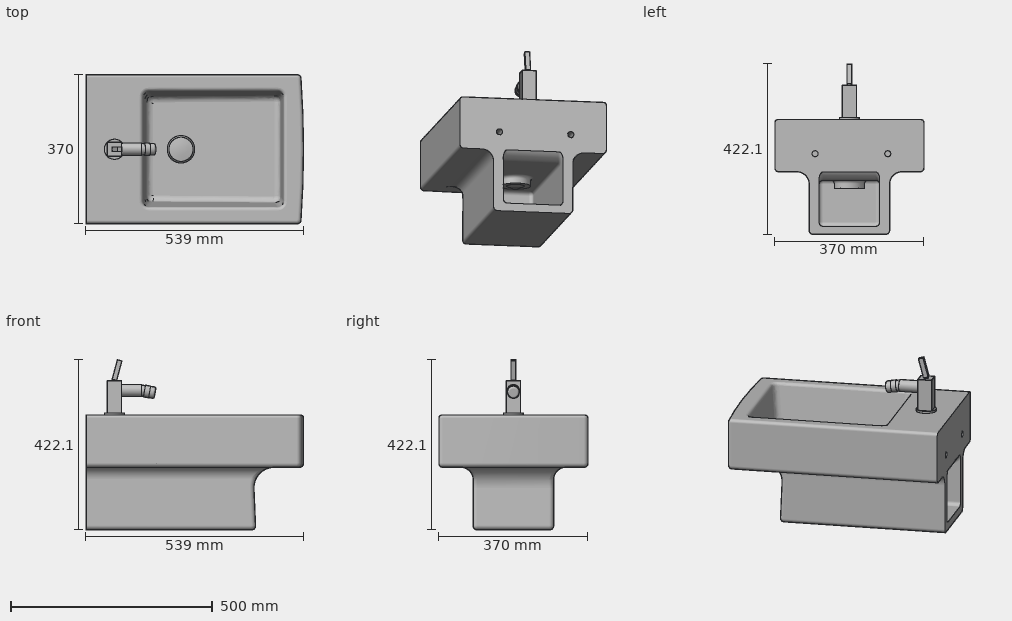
import cadquery as cq
import math


LENGTH = 538.99
WIDTH = 370.0
RIM_HEIGHT = 285.0
BOWL_UNDERSIDE = 155.0
FRONT_ARC_RADIUS = 2500.0
TOP_ROUND = 8.0
EDGE_ROUND = 10.0

PEDESTAL_WIDTH = 200.0
PEDESTAL_LENGTH = 420.5
PEDESTAL_LEAN = math.radians(2.4)
PEDESTAL_SIDE_BLEND = 30.0
PEDESTAL_FRONT_BLEND = 50.0

BASIN_BACK = 140.0
BASIN_FRONT = 491.0
BASIN_HALF_WIDTH = 145.0
BASIN_END_DRAFT = math.radians(5.6)
BASIN_SIDE_DRAFT = math.radians(7.7)
BASIN_CORNER = 15.0
BASIN_LIP_ROUND = 8.0
FLOOR_BACK_HEIGHT = 163.0
FLOOR_SLOPE = math.radians(2.7)

HOLLOW_WIDTH = 150.0
HOLLOW_BOTTOM = 20.0
HOLLOW_LENGTH = 396.0
HOLLOW_ROOF = 134.0
HOLLOW_MOUTH_RADIUS = 40.0
HOLLOW_ROUND = 10.0

FIXING_DIAMETER = 15.0
FIXING_DEPTH = 50.0
FIXING_SPACING = 180.0
FIXING_OFFSET = -5.0
FIXING_HEIGHT = 200.0

DRAIN_X = 235.0
DRAIN_BOSS_BOTTOM = 114.0
DRAIN_BOSS_DIAMETER = 75.0
DRAIN_BOSS_BLEND = 8.5
DRAIN_CAP_DIAMETER = 68.0
DRAIN_RECESS_DEPTH = 6.0
DRAIN_TAIL_DIAMETER = 44.0
DRAIN_DOME_DIAMETER = 60.0
DRAIN_BEVEL_RISE = 4.0
DRAIN_DOME_RISE = 3.0

TAP_X = 70.0
BASE_DIAMETER = 50.0
BASE_THICKNESS = 5.0
TOWER_SIDE = 36.0
TOWER_HEIGHT = 80.0
TOWER_CHAMFER = 1.0
STEM_DIAMETER = 12.0
LEVER_SIDE = 12.0
LEVER_LENGTH = 50.0
LEVER_TILT = 15.0
STEM_HEIGHT = 2.25
SPOUT_DIAMETER = 30.0
SPOUT_HEIGHT = 345.5
SPOUT_END = 137.0
NOZZLE_TILT = 10.0
NOZZLE_NECK_DIAMETER = 27.7
NOZZLE_TIP_DIAMETER = 29.13
NOZZLE_COLLAR_START = 7.5
NOZZLE_COLLAR_END = 20.5
NOZZLE_LENGTH = 34.5
NOZZLE_END_ROUND = 5.0

OVERLAP = 20.0
MARGIN = 1.0

SIDE_EDGE_X = LENGTH - FRONT_ARC_RADIUS + math.sqrt(FRONT_ARC_RADIUS**2 - (WIDTH / 2) ** 2)
PEDESTAL_TOP_X = PEDESTAL_LENGTH - BOWL_UNDERSIDE * math.tan(PEDESTAL_LEAN)
TOWER_BOTTOM = RIM_HEIGHT + BASE_THICKNESS
TOWER_TOP = TOWER_BOTTOM + TOWER_HEIGHT
TOWER_FRONT = TAP_X + TOWER_SIDE / 2
LEVER_BOTTOM = TOWER_TOP + STEM_HEIGHT


def floor_height(x):
    """Height of the sloping basin floor at distance x from the wall."""
    return FLOOR_BACK_HEIGHT + (x - BASIN_BACK) * math.tan(FLOOR_SLOPE)


DRAIN_SEAT = floor_height(DRAIN_X)


def upper_block():
    """Rounded slab with a slightly bowed front; the wall face keeps sharp edges."""
    slab = (
        cq.Workplane("XY", origin=(0, 0, BOWL_UNDERSIDE))
        .moveTo(0, -WIDTH / 2)
        .lineTo(SIDE_EDGE_X, -WIDTH / 2)
        .threePointArc((LENGTH, 0), (SIDE_EDGE_X, WIDTH / 2))
        .lineTo(0, WIDTH / 2)
        .close()
        .extrude(RIM_HEIGHT - BOWL_UNDERSIDE)
    )
    slab = slab.edges("|Z").edges(">X").fillet(EDGE_ROUND)
    slab = slab.faces("<Z").edges("not <X").fillet(EDGE_ROUND)
    return slab.faces(">Z").edges("not <X").fillet(TOP_ROUND)


def pedestal():
    """Foot that flares into the slab: a side-blended section cut to a front-blended profile."""
    half = PEDESTAL_WIDTH / 2
    flare = half + PEDESTAL_SIDE_BLEND
    blend_start = BOWL_UNDERSIDE - PEDESTAL_SIDE_BLEND
    top = BOWL_UNDERSIDE + OVERLAP
    section = (
        cq.Workplane("YZ")
        .moveTo(-half, 0)
        .lineTo(half, 0)
        .lineTo(half, blend_start)
        .radiusArc((flare, BOWL_UNDERSIDE), PEDESTAL_SIDE_BLEND)
        .lineTo(flare, top)
        .lineTo(-flare, top)
        .lineTo(-flare, BOWL_UNDERSIDE)
        .radiusArc((-half, blend_start), PEDESTAL_SIDE_BLEND)
        .close()
        .extrude(LENGTH)
    )
    slab_reach = LENGTH - OVERLAP
    profile = (
        cq.Workplane("XZ")
        .polyline(
            [
                (0, 0),
                (PEDESTAL_LENGTH, 0),
                (PEDESTAL_TOP_X, BOWL_UNDERSIDE),
                (slab_reach, BOWL_UNDERSIDE),
                (slab_reach, top),
                (0, top),
            ]
        )
        .close()
        .extrude(WIDTH / 2, both=True)
    )
    inner_corner = cq.selectors.NearestToPointSelector((PEDESTAL_TOP_X, 0, BOWL_UNDERSIDE))
    profile = profile.edges(inner_corner).fillet(PEDESTAL_FRONT_BLEND)
    return section.intersect(profile)


def round_pedestal(body):
    """Round the front corners of the foot, up into the flare, and its bottom edges."""
    flare = PEDESTAL_WIDTH / 2 + PEDESTAL_SIDE_BLEND
    front = cq.selectors.BoxSelector(
        (PEDESTAL_TOP_X - OVERLAP, -flare, EDGE_ROUND),
        (PEDESTAL_TOP_X + PEDESTAL_FRONT_BLEND, flare, BOWL_UNDERSIDE - MARGIN),
    )
    corners = body.edges(front).edges("not |Y")
    bottom = body.faces("<Z").edges("not <X")
    return body.newObject(corners.vals() + bottom.vals()).fillet(EDGE_ROUND)


def basin():
    """Drafted basin cavity with a sloping floor and rounded inner corners."""
    depth = RIM_HEIGHT - FLOOR_BACK_HEIGHT + OVERLAP
    length = BASIN_FRONT - BASIN_BACK
    width = 2 * BASIN_HALF_WIDTH
    end_taper = 2 * depth * math.tan(BASIN_END_DRAFT)
    side_taper = 2 * depth * math.tan(BASIN_SIDE_DRAFT)
    cavity = (
        cq.Workplane("XY", origin=((BASIN_BACK + BASIN_FRONT) / 2, 0, RIM_HEIGHT))
        .rect(length, width)
        .workplane(offset=-depth)
        .rect(length - end_taper, width - side_taper)
        .loft(ruled=True)
    )
    below_floor = (
        cq.Workplane("XZ")
        .polyline([(0, 0), (0, floor_height(0)), (LENGTH, floor_height(LENGTH)), (LENGTH, 0)])
        .close()
        .extrude(WIDTH, both=True)
    )
    cavity = cavity.cut(below_floor)
    wall_corners = cavity.edges("not(#Z or |Y)").filter(
        lambda edge: edge.BoundingBox().zlen > depth / 2
    )
    cavity = wall_corners.fillet(BASIN_CORNER)
    return cavity.faces("<Z").edges().fillet(BASIN_CORNER)


def hollow():
    """Space under the basin, open at the wall face, its level roof curving up toward the mouth."""
    rise = BOWL_UNDERSIDE - HOLLOW_ROOF
    mouth_run = math.sqrt(HOLLOW_MOUTH_RADIUS**2 - (HOLLOW_MOUTH_RADIUS - rise) ** 2)
    space = (
        cq.Workplane("XZ")
        .moveTo(0, HOLLOW_BOTTOM)
        .lineTo(HOLLOW_LENGTH, HOLLOW_BOTTOM)
        .lineTo(HOLLOW_LENGTH, HOLLOW_ROOF)
        .lineTo(mouth_run, HOLLOW_ROOF)
        .radiusArc((0, BOWL_UNDERSIDE), HOLLOW_MOUTH_RADIUS)
        .close()
        .extrude(HOLLOW_WIDTH / 2, both=True)
    )
    mouth_edges = space.faces("<X").edges().vals()
    roof_seam = space.edges(cq.selectors.NearestToPointSelector((mouth_run, 0, HOLLOW_ROOF))).vals()
    sharp = [edge for edge in space.edges().vals() if edge not in mouth_edges + roof_seam]
    space = space.newObject(sharp).fillet(HOLLOW_ROUND)
    boss = (
        cq.Workplane("XY", origin=(DRAIN_X, 0, DRAIN_BOSS_BOTTOM))
        .circle(DRAIN_BOSS_DIAMETER / 2)
        .extrude(DRAIN_SEAT - DRAIN_BOSS_BOTTOM)
    )
    space = space.cut(boss)
    roof_ring = cq.selectors.NearestToPointSelector((DRAIN_X, 0, HOLLOW_ROOF))
    return space.edges(roof_ring).fillet(DRAIN_BOSS_BLEND)


def fixing_holes():
    """Two blind holes in the wall face."""
    return (
        cq.Workplane("YZ", origin=(0, FIXING_OFFSET, FIXING_HEIGHT))
        .pushPoints([(-FIXING_SPACING / 2, 0), (FIXING_SPACING / 2, 0)])
        .circle(FIXING_DIAMETER / 2)
        .extrude(FIXING_DEPTH)
    )


def drain_opening():
    """Recess in the basin floor and the outlet bore through the boss."""
    floor = cq.Workplane("XY", origin=(DRAIN_X, 0, DRAIN_SEAT - DRAIN_RECESS_DEPTH))
    recess = floor.circle(DRAIN_CAP_DIAMETER / 2).extrude(2 * DRAIN_RECESS_DEPTH)
    bore = floor.circle(DRAIN_TAIL_DIAMETER / 2).extrude(DRAIN_BOSS_BOTTOM - DRAIN_SEAT)
    return recess.union(bore)


def make_bowl():
    body = round_pedestal(upper_block().union(pedestal()))
    body = body.cut(basin())
    lip = cq.selectors.BoxSelector(
        (BASIN_BACK - MARGIN, -BASIN_HALF_WIDTH - MARGIN, RIM_HEIGHT - MARGIN),
        (BASIN_FRONT + MARGIN, BASIN_HALF_WIDTH + MARGIN, RIM_HEIGHT + MARGIN),
        boundingbox=True,
    )
    body = body.edges(lip).fillet(BASIN_LIP_ROUND)
    return body.cut(hollow()).cut(drain_opening()).cut(fixing_holes())


def make_drain():
    """Domed plug on a tail that fills the outlet bore."""
    seat = DRAIN_SEAT - DRAIN_RECESS_DEPTH
    edge = DRAIN_SEAT + DRAIN_BEVEL_RISE
    crown = edge + DRAIN_DOME_RISE
    cap_radius = DRAIN_CAP_DIAMETER / 2
    dome_radius = DRAIN_DOME_DIAMETER / 2
    tail_radius = DRAIN_TAIL_DIAMETER / 2
    sphere_radius = (dome_radius**2 + DRAIN_DOME_RISE**2) / (2 * DRAIN_DOME_RISE)
    return (
        cq.Workplane("XZ", origin=(DRAIN_X, 0, 0))
        .moveTo(0, DRAIN_BOSS_BOTTOM)
        .lineTo(tail_radius, DRAIN_BOSS_BOTTOM)
        .lineTo(tail_radius, seat)
        .lineTo(cap_radius, seat)
        .lineTo(cap_radius, DRAIN_SEAT)
        .lineTo(dome_radius, edge)
        .radiusArc((0, crown), -sphere_radius)
        .close()
        .revolve(360, (0, 0), (0, 1))
    )


def make_base():
    return (
        cq.Workplane("XY", origin=(TAP_X, 0, RIM_HEIGHT)).circle(BASE_DIAMETER / 2).extrude(BASE_THICKNESS)
    )


def make_tower():
    tower = (
        cq.Workplane("XY", origin=(TAP_X, 0, TOWER_BOTTOM))
        .rect(TOWER_SIDE, TOWER_SIDE)
        .extrude(TOWER_HEIGHT)
    )
    return tower.edges("|Z or >Z").chamfer(TOWER_CHAMFER)


def make_lever():
    """Square bar leaning toward the basin, its foot centred on the tower axis."""
    foot = (TAP_X, 0, LEVER_BOTTOM)
    bar = (
        cq.Workplane("XY", origin=foot)
        .rect(LEVER_SIDE, LEVER_SIDE)
        .extrude(LEVER_LENGTH)
    )
    return bar.rotate(foot, (TAP_X, 1, LEVER_BOTTOM), LEVER_TILT)


def make_stem(lever):
    """Short pin between the tower top and the slanted foot of the lever."""
    pin = (
        cq.Workplane("XY", origin=(TAP_X, 0, TOWER_TOP))
        .circle(STEM_DIAMETER / 2)
        .extrude(2 * STEM_HEIGHT)
    )
    return pin.cut(lever)


def make_spout():
    return (
        cq.Workplane("YZ", origin=(TOWER_FRONT, 0, SPOUT_HEIGHT))
        .circle(SPOUT_DIAMETER / 2)
        .extrude(SPOUT_END - TOWER_FRONT)
    )


def make_nozzle():
    """Swivel nozzle turned about a drooping axis and trimmed flush to the spout end."""
    pivot = (SPOUT_END, 0, SPOUT_HEIGHT)
    neck = NOZZLE_NECK_DIAMETER / 2
    collar = SPOUT_DIAMETER / 2
    tip = NOZZLE_TIP_DIAMETER / 2
    nozzle = (
        cq.Workplane("XZ", origin=pivot)
        .moveTo(-collar, 0)
        .lineTo(-collar, neck)
        .lineTo(NOZZLE_COLLAR_START, neck)
        .lineTo(NOZZLE_COLLAR_START, collar)
        .lineTo(NOZZLE_COLLAR_END, collar)
        .lineTo(NOZZLE_COLLAR_END, tip)
        .lineTo(NOZZLE_LENGTH - NOZZLE_END_ROUND, tip)
        .radiusArc((NOZZLE_LENGTH, tip - NOZZLE_END_ROUND), NOZZLE_END_ROUND)
        .lineTo(NOZZLE_LENGTH, 0)
        .close()
        .revolve(360, (0, 0), (1, 0))
    )
    nozzle = nozzle.rotate(pivot, (SPOUT_END, 1, SPOUT_HEIGHT), NOZZLE_TILT)
    behind = cq.Workplane("YZ", origin=pivot).rect(WIDTH, WIDTH).extrude(-LENGTH)
    return nozzle.cut(behind)


bowl = make_bowl()
drain = make_drain()
base = make_base()
tower = make_tower()
lever = make_lever()
stem = make_stem(lever)
spout = make_spout()
nozzle = make_nozzle()

result = cq.Compound.makeCompound(
    [
        bowl.val(),
        drain.val(),
        base.val(),
        tower.val(),
        lever.val(),
        stem.val(),
        spout.val(),
        nozzle.val(),
    ]
)